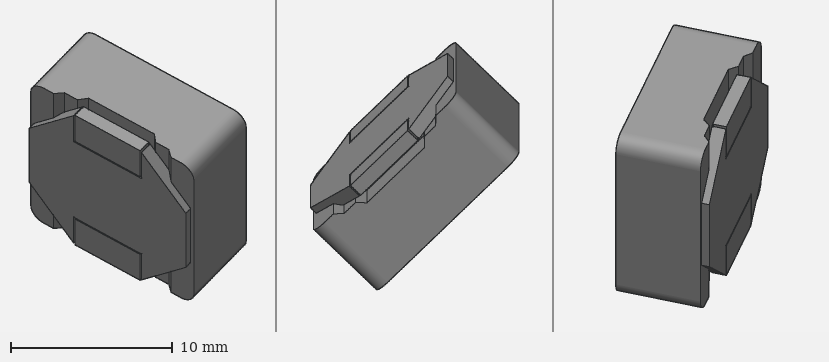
import cadquery as cq

side = 12.5
total_depth = 6.0
body_depth = 5.5
corner_radius = 1.0
back_y = total_depth / 2
body_front_y = back_y - body_depth
front_y = -total_depth / 2

solid_middle_half = 3.5
shallow_mouth_half = 4.5
shallow_floor_half = 4.0
deep_mouth_half = 3.0
deep_floor_half = 2.52
shallow_floor_y = body_front_y + 0.45
deep_floor_y = body_front_y + 0.96

plate_half = 6.0
plate_flat_half = 2.5
plate_back_y = shallow_floor_y - 0.05

pad_half_width = 2.5
pad_inner_z = 3.6
side_gap = 0.1
inner_gap = 0.1
pocket_web = 0.05
pocket_half_width = pad_half_width + side_gap
pocket_inner_z = pad_inner_z - inner_gap
pocket_floor_y = plate_back_y - pocket_web


def box_between(x_min, x_max, y_min, y_max, z_min, z_max):
    size = (x_max - x_min, y_max - y_min, z_max - z_min)
    return cq.Workplane("XY").box(*size, centered=False).translate((x_min, y_min, z_min))


def make_body():
    block = box_between(-side / 2, side / 2, body_front_y, back_y, -side / 2, side / 2)
    return block.edges("|Y").fillet(corner_radius).cut(at_both_ends(make_channel()))


def make_channel():
    right_half = [
        (deep_floor_half, deep_floor_y),
        (deep_mouth_half, shallow_floor_y),
        (shallow_floor_half, shallow_floor_y),
        (shallow_mouth_half, body_front_y),
    ]
    left_half = [(-x, y) for x, y in reversed(right_half)]
    profile = cq.Workplane("XY", origin=(0, 0, solid_middle_half)).polyline(right_half + left_half).close()
    return profile.extrude(side / 2 - solid_middle_half)


def make_plate():
    plate = box_between(-plate_half, plate_half, front_y, plate_back_y, -plate_half, plate_half)
    return plate.edges("|Y").chamfer(plate_half - plate_flat_half)


def at_both_ends(upper):
    return upper.union(upper.mirror("XY"))


pockets = at_both_ends(
    box_between(-pocket_half_width, pocket_half_width, front_y, pocket_floor_y, pocket_inner_z, plate_half)
)
pads = at_both_ends(
    box_between(-pad_half_width, pad_half_width, front_y, plate_back_y, pad_inner_z, plate_half)
)

result = make_body().union(make_plate().cut(pockets).union(pads))